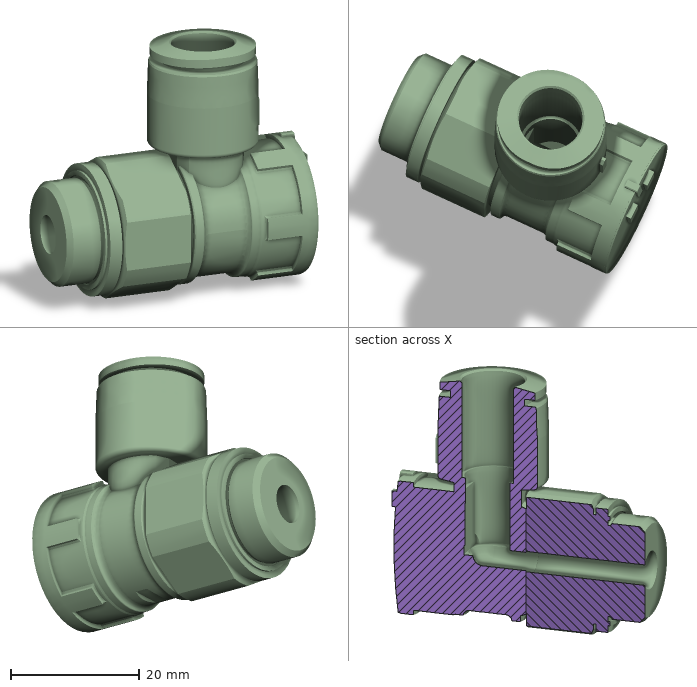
import cadquery as cq
import math


OVERALL_LENGTH = 42.15

MAIN_BORE_RADIUS = 6.0 / 2
STEM_BORE_RADIUS = 6.15 / 2
CROSS_SLOT_HALF_LENGTH = 3.9
PORT_BORE_RADIUS = 9.0 / 2
TUBE_BORE_RADIUS = 10.0 / 2
TUBE_BORE_CHAMFER = 0.3
TUBE_MOUTH_RADIUS = TUBE_BORE_RADIUS + TUBE_BORE_CHAMFER
SLOT_TOP_Z = 10.55
TUBE_STOP_Z = 12.65

WAIST_RADIUS = 9.52
WAIST_HALF_LENGTH = 3.1
LIP_RADIUS = 20.75 / 2
LIP_FACE_Y = 3.95
LIP_EDGE_ROUND = 0.25
WAIST_FILLET = 0.9
FRONT_LIP_END_Y = -5.55
FRONT_LIP_CHAMFER = 0.15
SPIGOT_RADIUS = 18.8 / 2
SPIGOT_TIP_RADIUS = 9.05
HEX_BACK_Y = -6.45
NOTCH_LENGTH = 2.95
NOTCH_FLOOR_LENGTH = 2.1
NOTCH_DEPTH = 0.4

CAP_RADIUS = 10.5
CAP_START_Y = 5.75
CAP_STEP_END_Y = 5.35
RIM_RADIUS = 22.4 / 2
RIM_START_Y = 12.25
RIM_END_Y = 14.9
RIM_STEP = 0.1
RIM_STEP_Y = 14.65
DOME_HEIGHT = 0.75
PAD_COUNT = 6
PAD_WIDTH = 3.45
PAD_END_Y = 6.4
PAD_FOOT = 0.3
PAD_ROOT_RADIUS = 10.3
MARK_RIB_WIDTH = 1.25
RIM_RIB_START_Y = 13.1
RIM_RIB_END_Y = 15.25
RIM_RIB_TOP_Z = 11.7
RIM_RIB_BOTTOM_Z = 9.25
RIM_RIB_LEAN = 0.35
RIM_RIB_CHAMFER = 0.15
BOSS_TOP_Y = 15.93
BOSS_INNER_X = 1.73
BOSS_OUTER_X = 4.2
BOSS_BOTTOM_Z = 6.5
BOSS_TOP_Z = 9.15

NECK_RADIUS = 6.95
NECK_HALF_DEPTH = 5.65
NECK_FLAT_HALF_WIDTH = 3.1
NECK_CORNER_X = 5.25
SOCKET_RADIUS = 17.5 / 2
SOCKET_BOTTOM_Z = 11.5
SOCKET_ROUND_START_Z = 12.55
SOCKET_ROUND = 0.6
SOCKET_FLOOR_RISE = 0.4
SOCKET_TAPER_START_Z = 20.2
SOCKET_TOP_Z = 25.6
SOCKET_TOP_RADIUS = 8.55
SOCKET_TOP_CHAMFER = 0.3
SOCKET_RIB_REACH = 9.35
SOCKET_RIB_BOTTOM_Z = 13.75
SOCKET_RIB_SHOULDER_Z = 17.85
SOCKET_RIB_TOP_Z = 18.45
RING_STEM_RADIUS = 13.5 / 2
RING_FLANGE_BOTTOM_Z = 26.6
RING_TOP_Z = 28.45
RING_WIDTH = 15.6
RING_LENGTH = 16.77
RING_TOP_SLOPE = 0.19

HEX_ACROSS_FLATS = 21.0
HEX_CORNER_RADIUS = RIM_RADIUS
HEX_FRONT_Y = -17.65
HEX_CHAMFER_LENGTH = 0.42
HEX_CHAMFER_DEPTH = 1.0
COLLAR_RADIUS = SPIGOT_RADIUS
FLANGE_RADIUS = 21.0 / 2
FLANGE_BACK_Y = -18.05
FLANGE_FRONT_Y = -20.05
COLLAR_FRONT_Y = -20.45
COLLAR_RECESS_RADIUS = 17.3 / 2
THREAD_RADIUS = 16.65 / 2
THREAD_BACK_Y = -20.78
THREAD_RELIEF = 0.35
THREAD_END_Y = BOSS_TOP_Y - OVERALL_LENGTH
THREAD_CHAMFER = 0.85


def cylinder_y(radius, start_y, end_y):
    """Cylinder about the Y axis."""
    return cq.Workplane("XZ", origin=(0, start_y, 0)).circle(radius).extrude(start_y - end_y)


def cylinder_z(radius, start_z, end_z):
    """Cylinder about the Z axis."""
    return cq.Workplane("XY", origin=(0, 0, start_z)).circle(radius).extrude(end_z - start_z)


def box_between(x_range, y_range, z_range):
    """Box given by its limits along the three axes."""
    corner = (x_range[0], y_range[0], z_range[0])
    size = [limits[1] - limits[0] for limits in (x_range, y_range, z_range)]
    return cq.Workplane("XY", origin=corner).box(*size, centered=False)


def revolve_y(outline):
    """Turn a closed (radius, y) outline about the Y axis."""
    return outline.close().revolve(360, (0, 0, 0), (0, 1, 0))


def revolve_z(outline):
    """Turn a closed (radius, z) outline in the XZ plane about the Z axis."""
    return outline.close().revolve(360, (0, 0, 0), (0, 1, 0))


def make_barrel():
    """Turned barrel: spigot, front lip, waist, rear lip and domed cap blank at full rim radius."""
    lip_fillet_radius = LIP_RADIUS - LIP_EDGE_ROUND
    lip_round_y = LIP_FACE_Y + LIP_EDGE_ROUND
    dome_edge_radius = RIM_RADIUS - RIM_STEP
    dome_radius = (dome_edge_radius**2 + DOME_HEIGHT**2) / (2 * DOME_HEIGHT)
    outline = (
        cq.Workplane("XY")
        .moveTo(0, HEX_BACK_Y)
        .lineTo(SPIGOT_TIP_RADIUS, HEX_BACK_Y)
        .lineTo(SPIGOT_RADIUS, FRONT_LIP_END_Y)
        .lineTo(LIP_RADIUS - FRONT_LIP_CHAMFER, FRONT_LIP_END_Y)
        .lineTo(LIP_RADIUS, FRONT_LIP_END_Y + FRONT_LIP_CHAMFER)
        .lineTo(LIP_RADIUS, -lip_round_y)
        .radiusArc((lip_fillet_radius, -LIP_FACE_Y), -LIP_EDGE_ROUND)
        .radiusArc((WAIST_RADIUS, -WAIST_HALF_LENGTH), WAIST_FILLET)
        .lineTo(WAIST_RADIUS, WAIST_HALF_LENGTH)
        .radiusArc((lip_fillet_radius, LIP_FACE_Y), WAIST_FILLET)
        .radiusArc((LIP_RADIUS, lip_round_y), -LIP_EDGE_ROUND)
        .lineTo(LIP_RADIUS, CAP_STEP_END_Y)
        .lineTo(CAP_RADIUS, CAP_START_Y)
        .lineTo(RIM_RADIUS, CAP_START_Y)
        .lineTo(RIM_RADIUS, RIM_STEP_Y)
        .lineTo(dome_edge_radius, RIM_STEP_Y)
        .lineTo(dome_edge_radius, RIM_END_Y)
        .radiusArc((0, RIM_END_Y + DOME_HEIGHT), -dome_radius)
    )
    return revolve_y(outline)


def make_waist_notch():
    """Tapered notch across the underside of the waist."""
    floor_z = NOTCH_DEPTH - WAIST_RADIUS
    outline = [
        (-NOTCH_LENGTH / 2, -WAIST_RADIUS),
        (-NOTCH_FLOOR_LENGTH / 2, floor_z),
        (NOTCH_FLOOR_LENGTH / 2, floor_z),
        (NOTCH_LENGTH / 2, -WAIST_RADIUS),
    ]
    return cq.Workplane("YZ").polyline(outline).close().extrude(WAIST_RADIUS, both=True)


def make_grip_recess():
    """Ring cut from the cap in front of its rim; it leaves grip pads with sloped feet standing."""
    pad_length = RIM_END_Y - PAD_END_Y
    root_plane = cq.Workplane("YZ", origin=(PAD_ROOT_RADIUS, PAD_END_Y + pad_length / 2, 0))
    wall = root_plane.rect(pad_length, PAD_WIDTH).extrude(RIM_RADIUS)
    foot = root_plane.rect(pad_length + 2 * PAD_FOOT, PAD_WIDTH + 2 * PAD_FOOT).extrude(
        PAD_FOOT, taper=45
    )
    pad = wall.union(foot)
    recess = cylinder_y(2 * RIM_RADIUS, CAP_STEP_END_Y, RIM_START_Y)
    recess = recess.cut(cylinder_y(CAP_RADIUS, CAP_STEP_END_Y, RIM_START_Y))
    for index in range(PAD_COUNT):
        recess = recess.cut(pad.rotate((0, 0, 0), (0, 1, 0), index * 360 / PAD_COUNT))
    return recess


def make_rim_rib():
    """Position rib over the top of the rim, leaning with the dome."""
    outline = [
        (RIM_RIB_START_Y, RIM_RIB_BOTTOM_Z),
        (RIM_RIB_START_Y, RIM_RIB_TOP_Z),
        (RIM_RIB_END_Y, RIM_RIB_TOP_Z),
        (RIM_RIB_END_Y + RIM_RIB_LEAN, RIM_RIB_BOTTOM_Z),
    ]
    rib = cq.Workplane("YZ").polyline(outline).close().extrude(MARK_RIB_WIDTH / 2, both=True)
    return rib.faces(">Z").edges("|Y").chamfer(RIM_RIB_CHAMFER)


def make_end_bosses():
    """Pair of low bosses on the domed end."""
    boss = box_between(
        (BOSS_INNER_X, BOSS_OUTER_X), (RIM_START_Y, BOSS_TOP_Y), (BOSS_BOTTOM_Z, BOSS_TOP_Z)
    )
    return [boss, boss.mirror("YZ")]


def make_neck():
    """Neck between barrel and socket: a round column with flattened, bevelled front and back."""
    corner_y = math.sqrt(NECK_RADIUS**2 - NECK_CORNER_X**2)
    outline = (
        cq.Workplane("XY")
        .moveTo(NECK_CORNER_X, -corner_y)
        .threePointArc((NECK_RADIUS, 0), (NECK_CORNER_X, corner_y))
        .lineTo(NECK_FLAT_HALF_WIDTH, NECK_HALF_DEPTH)
        .lineTo(-NECK_FLAT_HALF_WIDTH, NECK_HALF_DEPTH)
        .lineTo(-NECK_CORNER_X, corner_y)
        .threePointArc((-NECK_RADIUS, 0), (-NECK_CORNER_X, -corner_y))
        .lineTo(-NECK_FLAT_HALF_WIDTH, -NECK_HALF_DEPTH)
        .lineTo(NECK_FLAT_HALF_WIDTH, -NECK_HALF_DEPTH)
    )
    return outline.close().extrude(SOCKET_ROUND_START_Z)


def make_socket():
    """Turned socket with a rounded bottom rim and a slightly tapered upper half."""
    rim_radius = SOCKET_RADIUS - SOCKET_ROUND
    rim_z = SOCKET_BOTTOM_Z + SOCKET_FLOOR_RISE
    round_radius = SOCKET_ROUND_START_Z - rim_z
    outline = (
        cq.Workplane("XZ")
        .moveTo(0, SOCKET_BOTTOM_Z)
        .lineTo(NECK_HALF_DEPTH, SOCKET_BOTTOM_Z)
        .lineTo(rim_radius, rim_z)
        .radiusArc((SOCKET_RADIUS, SOCKET_ROUND_START_Z), -round_radius)
        .lineTo(SOCKET_RADIUS, SOCKET_TAPER_START_Z)
        .lineTo(SOCKET_TOP_RADIUS, SOCKET_TOP_Z - SOCKET_TOP_CHAMFER)
        .lineTo(SOCKET_TOP_RADIUS - SOCKET_TOP_CHAMFER / 2, SOCKET_TOP_Z)
        .lineTo(0, SOCKET_TOP_Z)
    )
    return revolve_z(outline)


def make_socket_rib():
    """Position rib with a pointed top on the rear of the socket."""
    half_width = MARK_RIB_WIDTH / 2
    outline = [
        (-half_width, SOCKET_RIB_BOTTOM_Z),
        (half_width, SOCKET_RIB_BOTTOM_Z),
        (half_width, SOCKET_RIB_SHOULDER_Z),
        (0, SOCKET_RIB_TOP_Z),
        (-half_width, SOCKET_RIB_SHOULDER_Z),
    ]
    outer_plane = cq.Workplane("XZ", origin=(0, SOCKET_RIB_REACH, 0))
    return outer_plane.polyline(outline).close().extrude(SOCKET_RIB_REACH - TUBE_BORE_RADIUS)


def make_release_ring():
    """Release ring: a round stem under an oblong flange with a conical top."""
    edge_radius = RING_LENGTH / 2
    edge_z = RING_TOP_Z - RING_TOP_SLOPE * (edge_radius - TUBE_MOUTH_RADIUS)
    cone_envelope = revolve_z(
        cq.Workplane("XZ")
        .moveTo(0, RING_FLANGE_BOTTOM_Z)
        .lineTo(edge_radius, RING_FLANGE_BOTTOM_Z)
        .lineTo(edge_radius, edge_z)
        .lineTo(TUBE_MOUTH_RADIUS, RING_TOP_Z)
        .lineTo(0, RING_TOP_Z)
    )
    flange = (
        cq.Workplane("XY", origin=(0, 0, RING_FLANGE_BOTTOM_Z))
        .slot2D(RING_LENGTH, RING_WIDTH, 90)
        .extrude(RING_TOP_Z - RING_FLANGE_BOTTOM_Z)
        .intersect(cone_envelope)
    )
    return flange.union(cylinder_z(RING_STEM_RADIUS, SOCKET_TAPER_START_Z, RING_FLANGE_BOTTOM_Z))


def make_main_bore():
    """Housing bore: its upper half ends on a flat wall, its lower half in a quarter ball."""
    ball_center_y = CROSS_SLOT_HALF_LENGTH - MAIN_BORE_RADIUS
    ball = cq.Workplane("XY", origin=(0, ball_center_y, 0)).sphere(MAIN_BORE_RADIUS)
    upper_half = box_between(
        (-MAIN_BORE_RADIUS, MAIN_BORE_RADIUS),
        (HEX_BACK_Y, CROSS_SLOT_HALF_LENGTH),
        (0, MAIN_BORE_RADIUS),
    ).intersect(cylinder_y(MAIN_BORE_RADIUS, HEX_BACK_Y, CROSS_SLOT_HALF_LENGTH))
    return cylinder_y(MAIN_BORE_RADIUS, HEX_BACK_Y, ball_center_y).union(ball).union(upper_half)


def make_port_bore():
    """Stepped tube port that narrows to a flat-walled slot above the main bore."""
    slot_walls = box_between(
        (-PORT_BORE_RADIUS, PORT_BORE_RADIUS),
        (-CROSS_SLOT_HALF_LENGTH, CROSS_SLOT_HALF_LENGTH),
        (0, SLOT_TOP_Z),
    )
    slot = cylinder_z(PORT_BORE_RADIUS, 0, SLOT_TOP_Z).intersect(slot_walls)
    stop_bore = cylinder_z(PORT_BORE_RADIUS, SLOT_TOP_Z, TUBE_STOP_Z)
    tube_bore = revolve_z(
        cq.Workplane("XZ")
        .moveTo(0, TUBE_STOP_Z)
        .lineTo(TUBE_BORE_RADIUS, TUBE_STOP_Z)
        .lineTo(TUBE_BORE_RADIUS, RING_TOP_Z - TUBE_BORE_CHAMFER)
        .lineTo(TUBE_MOUTH_RADIUS, RING_TOP_Z)
        .lineTo(0, RING_TOP_Z)
    )
    return slot.union(stop_bore).union(tube_bore)


def make_housing():
    """Elbow housing with grip cap, socket and release ring."""
    body = make_barrel().cut(make_waist_notch()).cut(make_grip_recess())
    for boss in make_end_bosses():
        body = body.union(boss)
    body = body.union(make_rim_rib())
    body = body.union(make_neck())
    body = body.union(make_socket())
    body = body.union(make_socket_rib())
    body = body.union(make_release_ring())
    return body.cut(make_port_bore()).cut(make_main_bore())


def make_hexagon():
    """Hexagon with corners turned down to a cylinder and a chamfered front."""
    across_corners = HEX_ACROSS_FLATS / math.cos(math.pi / 6)
    prism = (
        cq.Workplane("XZ", origin=(0, HEX_BACK_Y, 0))
        .transformed(rotate=(0, 0, 30))
        .polygon(6, across_corners)
        .extrude(HEX_BACK_Y - HEX_FRONT_Y)
    )
    envelope = revolve_y(
        cq.Workplane("XY")
        .moveTo(0, HEX_BACK_Y)
        .lineTo(HEX_CORNER_RADIUS, HEX_BACK_Y)
        .lineTo(HEX_CORNER_RADIUS, HEX_FRONT_Y + HEX_CHAMFER_LENGTH)
        .lineTo(HEX_CORNER_RADIUS - HEX_CHAMFER_DEPTH, HEX_FRONT_Y)
        .lineTo(0, HEX_FRONT_Y)
    )
    return prism.intersect(envelope)


def make_threaded_end():
    """Turned collar, flange and thread in front of the hexagon."""
    outline = (
        cq.Workplane("XY")
        .moveTo(0, HEX_FRONT_Y)
        .lineTo(COLLAR_RADIUS, HEX_FRONT_Y)
        .lineTo(COLLAR_RADIUS, FLANGE_BACK_Y)
        .lineTo(FLANGE_RADIUS, FLANGE_BACK_Y)
        .lineTo(FLANGE_RADIUS, FLANGE_FRONT_Y)
        .lineTo(COLLAR_RADIUS, FLANGE_FRONT_Y)
        .lineTo(COLLAR_RADIUS, COLLAR_FRONT_Y)
        .lineTo(COLLAR_RECESS_RADIUS, COLLAR_FRONT_Y)
        .lineTo(COLLAR_RECESS_RADIUS, FLANGE_FRONT_Y)
        .lineTo(THREAD_RADIUS - THREAD_RELIEF, FLANGE_FRONT_Y)
        .lineTo(THREAD_RADIUS - THREAD_RELIEF, COLLAR_FRONT_Y)
        .lineTo(THREAD_RADIUS, THREAD_BACK_Y)
        .lineTo(THREAD_RADIUS, THREAD_END_Y + THREAD_CHAMFER)
        .lineTo(THREAD_RADIUS - THREAD_CHAMFER, THREAD_END_Y)
        .lineTo(0, THREAD_END_Y)
    )
    return revolve_y(outline)


def make_stem():
    """Threaded stem with hexagon and through bore."""
    through_bore = cylinder_y(STEM_BORE_RADIUS, THREAD_END_Y, HEX_BACK_Y)
    return make_hexagon().union(make_threaded_end()).cut(through_bore)


housing = make_housing()
stem = make_stem()

result = cq.Compound.makeCompound([housing.val(), stem.val()])